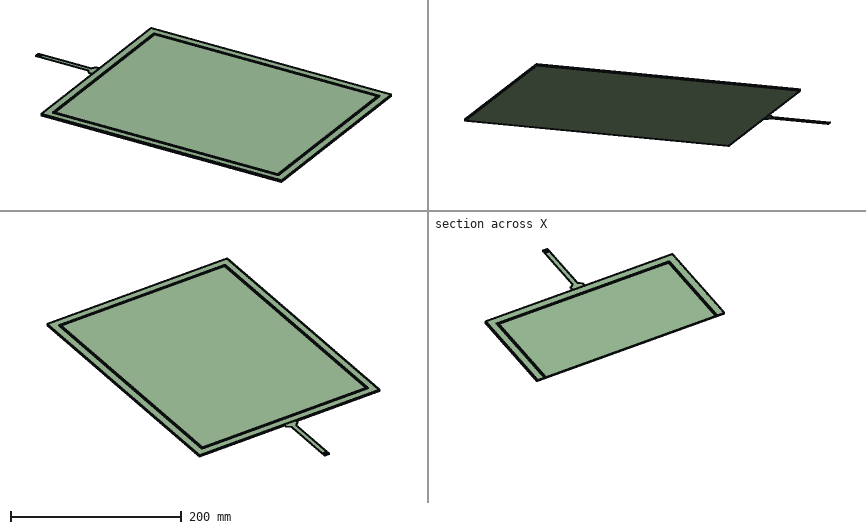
import cadquery as cq

total_length = 408.0
panel_width = 252.0
panel_thickness = 2.1

tail_length = 80.5
panel_length = total_length - tail_length
groove_inset = 9.8
groove_width = 2.0
groove_depth = 0.2

step_width = 1.0
step_depth = 0.5

tail_center_y = 0.0
tail_width = 6.5
tail_thickness = 0.2
tail_top = 1.85
root_width = 16.5
root_length = 5.5
root_taper_length = 3.3

pad_count = 4
pad_length = 5.5
pad_width = 1.0
pad_height = 0.1
pad_pitch = tail_width / pad_count


def centered_block(length, width, height):
    """Block centred in X and Y, with its base at Z = 0."""
    return cq.Workplane("XY").box(length, width, height, centered=(True, True, False))


def make_panel():
    """Flat panel with a shallow rectangular groove in its top face and a stepped -Y edge."""
    outer_inset = 2 * groove_inset
    inner_inset = outer_inset + 2 * groove_width
    groove = centered_block(
        panel_length - outer_inset, panel_width - outer_inset, groove_depth
    ).cut(
        centered_block(panel_length - inner_inset, panel_width - inner_inset, groove_depth)
    )
    panel = centered_block(panel_length, panel_width, panel_thickness)
    step = centered_block(panel_length, step_width, step_depth).translate(
        (0, (step_width - panel_width) / 2, panel_thickness - step_depth)
    )
    return panel.cut(step).cut(groove.translate((0, 0, panel_thickness - groove_depth)))


def make_tail():
    """Narrow strip that flares to a wider root at the panel edge."""
    panel_edge = -panel_length / 2
    tip = panel_edge - tail_length
    root_start = panel_edge - root_length
    taper_start = root_start - root_taper_length
    half_tail = tail_width / 2
    half_root = root_width / 2
    strip = (
        cq.Workplane("XY", origin=(0, tail_center_y, tail_top - tail_thickness))
        .moveTo(tip, -half_tail)
        .lineTo(taper_start, -half_tail)
        .lineTo(root_start, -half_root)
        .lineTo(panel_edge, -half_root)
        .lineTo(panel_edge, half_root)
        .lineTo(root_start, half_root)
        .lineTo(taper_start, half_tail)
        .lineTo(tip, half_tail)
        .close()
        .extrude(tail_thickness)
    )
    pads = (
        cq.Workplane("XY", origin=(tip + pad_length / 2, tail_center_y, tail_top))
        .rarray(4, pad_pitch, 1, pad_count)
        .rect(pad_length, pad_width)
        .extrude(pad_height)
    )
    return strip.union(pads)


result = make_panel().union(make_tail())